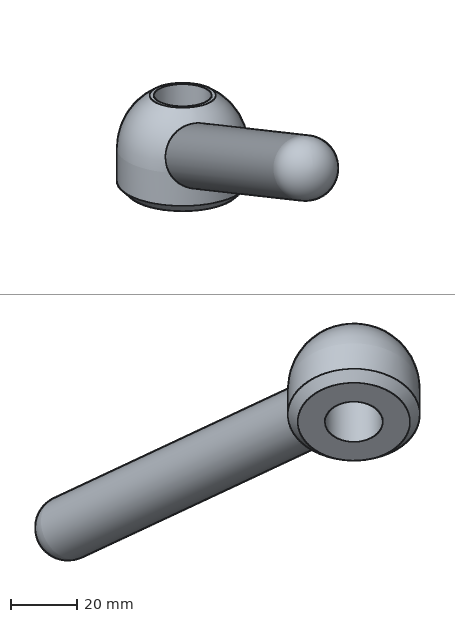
import cadquery as cq
import math

hub_height = 31.0
hub_radius = 20.0
flat_radius = 10.0
foot_chamfer = 3.0
bore_diameter = 17.5

overall_height = 73.0
reach = 150.95
handle_radius = 10.0
handle_tilt = math.radians(20.0)

dome_center_z = hub_height - math.sqrt(hub_radius**2 - flat_radius**2)

tip_center_x = reach - handle_radius
tip_center_z = overall_height - handle_radius
axis_start_z = tip_center_z - tip_center_x * math.tan(handle_tilt)
handle_length = tip_center_x / math.cos(handle_tilt)


def make_hub():
    """Revolve the half section: chamfered foot, cylinder, dome and flat top."""
    mid_angle = math.acos(flat_radius / hub_radius) / 2
    dome_mid = (
        hub_radius * math.cos(mid_angle),
        dome_center_z + hub_radius * math.sin(mid_angle),
    )
    return (
        cq.Workplane("XZ")
        .lineTo(hub_radius - foot_chamfer, 0)
        .lineTo(hub_radius, foot_chamfer)
        .lineTo(hub_radius, dome_center_z)
        .threePointArc(dome_mid, (flat_radius, hub_height))
        .lineTo(0, hub_height)
        .close()
        .revolve(360, (0, 0), (0, 1))
    )


def make_handle():
    """Revolve the half section of the bar and its round tip about the tilted axis."""
    section_plane = cq.Plane(
        origin=(0, 0, axis_start_z),
        xDir=(math.cos(handle_tilt), 0, math.sin(handle_tilt)),
        normal=(0, -1, 0),
    )
    mid_offset = handle_radius * math.sqrt(0.5)
    tip_mid = (handle_length + mid_offset, mid_offset)
    tip_end = (handle_length + handle_radius, 0)
    return (
        cq.Workplane(section_plane)
        .lineTo(0, handle_radius)
        .lineTo(handle_length, handle_radius)
        .threePointArc(tip_mid, tip_end)
        .close()
        .revolve(360, (0, 0), (1, 0))
    )


def make_bore():
    """Through hole on the hub axis, which also clears the root of the handle."""
    return cq.Workplane("XY").circle(bore_diameter / 2).extrude(hub_height)


result = make_hub().union(make_handle()).cut(make_bore())